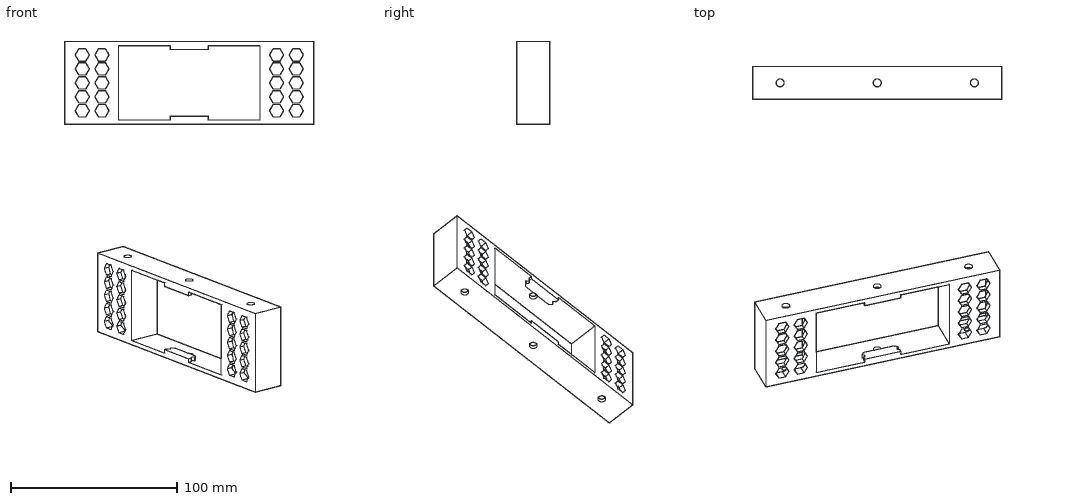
import cadquery as cq

length = 150
depth = 20.0
height = 50.0

window_width = 85.2
rail_thickness = 2.7
window_height = height - 2 * rail_thickness

tab_width = 23.1
tab_height = 2.2
tab_depth = 6.8
tab_chamfer = 1.8
tab_groove_radius = 1.2
tab_groove_y = 3.5

front_wall = 3
side_wall = 2.0
pocket_fillet = 7.5
bay_width = (length - window_width) / 2
pocket_width = bay_width - 2 * side_wall
pocket_depth = depth - front_wall
pocket_offset = (window_width + bay_width) / 2

screw_diameter = 4.6
screw_spacing = 58.5
screw_count = 3

hex_diameter = 8.4
hex_columns = 2
hex_rows = 5
hex_column_pitch = 11.8
hex_row_pitch = 8.4
hex_cut_depth = front_wall + pocket_fillet


def window():
    return cq.Workplane("XY").box(window_width, depth, window_height).translate((0, depth / 2, 0))


def pocket(side):
    """Blind pocket rounded where its walls meet the grille; side is -1 or 1."""
    return (
        cq.Workplane("XY")
        .box(pocket_width, pocket_depth, window_height)
        .faces("<Y")
        .edges()
        .fillet(pocket_fillet)
        .translate((side * pocket_offset, front_wall + pocket_depth / 2, 0))
    )


def hex_grille(side):
    """Hexagonal holes that also pass through the rounded pocket edges."""
    return (
        cq.Workplane("XZ", origin=(side * screw_spacing, 0, 0))
        .rarray(hex_column_pitch, hex_row_pitch, hex_columns, hex_rows)
        .polygon(6, hex_diameter)
        .extrude(-hex_cut_depth)
    )


def tab(bottom_z):
    """Tab with chamfered back corners and a round groove in each end."""
    blank = (
        cq.Workplane("XY")
        .box(tab_width, tab_depth, tab_height, centered=(True, False, False))
        .edges("|Z and >Y")
        .chamfer(tab_chamfer)
    )
    grooves = (
        cq.Workplane("XY")
        .pushPoints([(-tab_width / 2, tab_groove_y), (tab_width / 2, tab_groove_y)])
        .circle(tab_groove_radius)
        .extrude(tab_height)
    )
    return blank.cut(grooves).translate((0, 0, bottom_z))


def screw_holes():
    return (
        cq.Workplane("XY", origin=(0, depth / 2, -height / 2))
        .rarray(screw_spacing, 1.5, screw_count, 1)
        .circle(screw_diameter / 2)
        .extrude(height)
    )


result = cq.Workplane("XY").box(length, depth, height).translate((0, depth / 2, 0))
result = result.cut(window())
for side in (-1, 1):
    result = result.cut(pocket(side))
    result = result.cut(hex_grille(side))
result = result.union(tab(-window_height / 2))
result = result.union(tab(window_height / 2 - tab_height))
result = result.cut(screw_holes())